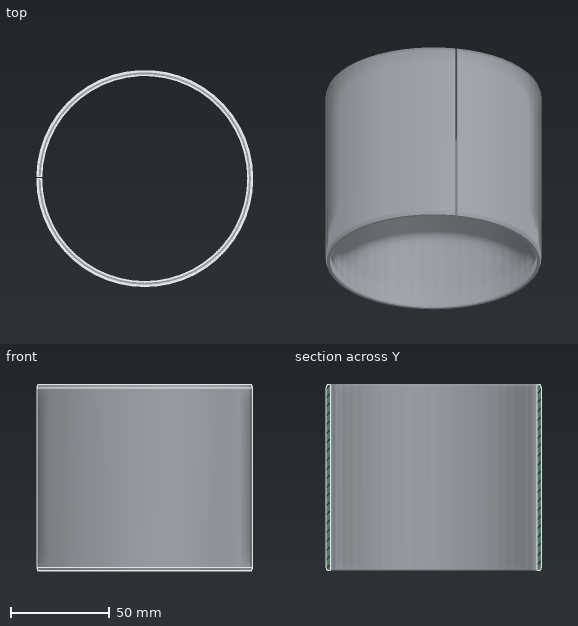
import math

import cadquery as cq

outer_diameter = 110.0
wall_thickness = 2.5
length = 95.0

outer_chamfer_length = 1.8
outer_chamfer_angle = 20.0
bore_chamfer_length = 0.6
bore_chamfer_angle = 30.0

split_width = 0.95

outer_radius = outer_diameter / 2
inner_radius = outer_radius - wall_thickness
half_length = length / 2


def chamfer_depth(axial_length, angle):
    """Radial depth of a chamfer of the given axial length and angle."""
    return axial_length * math.tan(math.radians(angle))


def make_sleeve():
    """Revolve the wall section, chamfered at all four corners, about Z."""
    outer_end_radius = outer_radius - chamfer_depth(outer_chamfer_length, outer_chamfer_angle)
    bore_end_radius = inner_radius + chamfer_depth(bore_chamfer_length, bore_chamfer_angle)
    outer_half = half_length - outer_chamfer_length
    bore_half = half_length - bore_chamfer_length
    wall_section = (
        cq.Workplane("XZ")
        .moveTo(inner_radius, -bore_half)
        .lineTo(bore_end_radius, -half_length)
        .lineTo(outer_end_radius, -half_length)
        .lineTo(outer_radius, -outer_half)
        .lineTo(outer_radius, outer_half)
        .lineTo(outer_end_radius, half_length)
        .lineTo(bore_end_radius, half_length)
        .lineTo(inner_radius, bore_half)
        .close()
    )
    return wall_section.revolve(360, (0, 0, 0), (0, 1, 0))


def make_split_cutter():
    """Full-length slab that opens the wall on the -X side only."""
    slab = cq.Workplane("XY").box(outer_radius, split_width, length, centered=(False, False, True))
    return slab.translate((-outer_radius, 0, 0))


result = make_sleeve().cut(make_split_cutter())